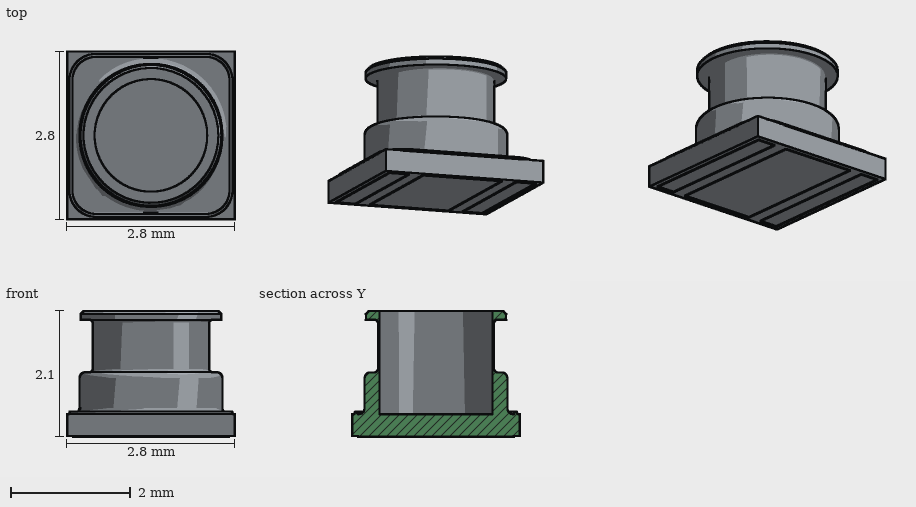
import cadquery as cq

base_side = 2.8
pad_thickness = 0.01
base_top = 0.38

pad_length = 2.6
center_pad_width = 1.4
edge_pad_width = 0.35
edge_pad_offset = (pad_length - edge_pad_width) / 2

bead_margin = 0.02
bead_height = 0.045
bead_round = 0.02
bead_wall_width = 0.05
bead_wall_side = base_side - 2 * (bead_margin + bead_round)
bead_corner_radius = 0.44

total_height = 2.1
body_radius = 2.39 / 2
body_top = 1.08
body_round = 0.1
neck_radius = 1.95 / 2
neck_fillet = 0.05
flange_radius = 2.35 / 2
flange_thickness = 0.15
flange_bottom = total_height - flange_thickness
flange_chamfer = 0.05
bore_radius = 1.88 / 2
bore_floor = base_top


def rounded_block(side, corner_radius):
    """Square block with rounded vertical edges, standing on the base."""
    block = cq.Workplane("XY").workplane(offset=base_top).rect(side, side).extrude(bead_height)
    return block.edges("|Z").fillet(corner_radius)


def make_bead():
    """Closed bead with a rounded crest."""
    outer = rounded_block(bead_wall_side, bead_corner_radius)
    inner = rounded_block(bead_wall_side - 2 * bead_wall_width, bead_corner_radius - bead_wall_width)
    return outer.cut(inner).faces(">Z").edges().fillet(bead_round)


def make_base():
    """Base plate with the bead blended into its top face."""
    plate = (
        cq.Workplane("XY")
        .workplane(offset=pad_thickness)
        .rect(base_side, base_side)
        .extrude(base_top - pad_thickness)
    )
    reach = (bead_wall_side + bead_round) / 2
    half_band = bead_round / 2
    bead_feet = cq.selectors.BoxSelector(
        (-reach, -reach, base_top - half_band),
        (reach, reach, base_top + half_band),
        boundingbox=True,
    )
    return plate.union(make_bead()).edges(bead_feet).fillet(bead_round)


def make_pad(width, y_offset):
    """Thin contact strip on the underside."""
    return cq.Workplane("XY").center(0, y_offset).rect(pad_length, width).extrude(pad_thickness)


def make_cup():
    """Turned cup revolved about Z; the profile is drawn as (radius, height)."""
    foot_radius = body_radius + body_round
    profile = (
        cq.Workplane("XZ")
        .moveTo(0, base_top)
        .lineTo(foot_radius, base_top)
        .radiusArc((body_radius, base_top + body_round), body_round)
        .lineTo(body_radius, body_top - body_round)
        .radiusArc((body_radius - body_round, body_top), -body_round)
        .lineTo(neck_radius + neck_fillet, body_top)
        .radiusArc((neck_radius, body_top + neck_fillet), neck_fillet)
        .lineTo(neck_radius, flange_bottom - neck_fillet)
        .radiusArc((neck_radius + neck_fillet, flange_bottom), neck_fillet)
        .lineTo(flange_radius, flange_bottom)
        .lineTo(flange_radius, total_height - flange_chamfer)
        .lineTo(flange_radius - flange_chamfer, total_height)
        .lineTo(0, total_height)
        .close()
    )
    return profile.revolve(360, (0, 0, 0), (0, 1, 0))


def make_bore():
    """Blind bore from the mouth down to the base."""
    floor = cq.Workplane("XY").workplane(offset=bore_floor)
    return floor.circle(bore_radius).extrude(total_height - bore_floor)


result = make_base().union(make_cup()).cut(make_bore())
result = result.union(make_pad(center_pad_width, 0))
for side in (-1, 1):
    result = result.union(make_pad(edge_pad_width, side * edge_pad_offset))